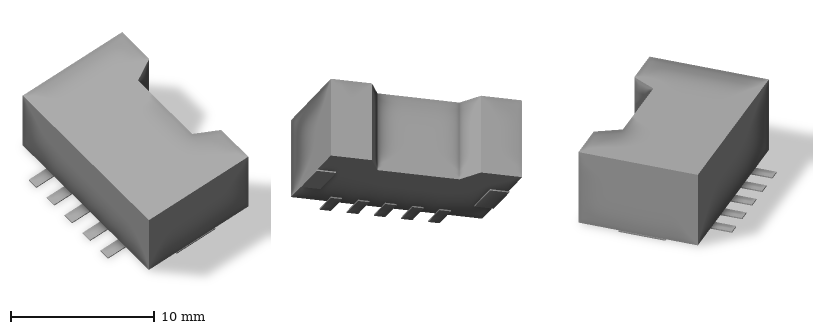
import cadquery as cq

HOUSING_WIDTH = 14.04
HOUSING_DEPTH = 8.9
HOUSING_HEIGHT = 5.7

NOTCH_MOUTH = 8.0
NOTCH_FLOOR = 6.02
NOTCH_DEPTH = 1.8

SHEET_THICKNESS = 0.1

CONTACT_COUNT = 5
CONTACT_PITCH = 2.0
CONTACT_WIDTH = 0.83
CONTACT_LENGTH = 2.53
CONTACT_OVERHANG = 1.55

OUTER_WIDTH = 14.14
TAB_WIDTH = 1.41
TAB_DEPTH = 3.46
TAB_FRONT = 2.43


def make_housing():
    """Block with a tapered notch through its height, resting on the metal sheet parts."""
    back = HOUSING_DEPTH
    side = HOUSING_WIDTH / 2
    notch_floor_y = back - NOTCH_DEPTH
    outline = [
        (-side, 0),
        (side, 0),
        (side, back),
        (NOTCH_MOUTH / 2, back),
        (NOTCH_FLOOR / 2, notch_floor_y),
        (-NOTCH_FLOOR / 2, notch_floor_y),
        (-NOTCH_MOUTH / 2, back),
        (-side, back),
    ]
    return cq.Workplane("XY").polyline(outline).close().extrude(HOUSING_HEIGHT)


def make_sheet_strip(width, depth, center_x, front_y):
    """Flat strip whose top face lies against the housing underside at Z = 0."""
    return (
        cq.Workplane("XY")
        .box(width, depth, SHEET_THICKNESS, centered=(True, False, False))
        .translate((center_x, front_y, -SHEET_THICKNESS))
    )


def make_contact(index):
    """Contact strip that projects from the front of the housing."""
    center_x = (index - (CONTACT_COUNT - 1) / 2) * CONTACT_PITCH
    return make_sheet_strip(CONTACT_WIDTH, CONTACT_LENGTH, center_x, -CONTACT_OVERHANG)


def make_solder_tab(side):
    """Solder tab that projects slightly past one end; side is -1 or 1."""
    center_x = side * (OUTER_WIDTH - TAB_WIDTH) / 2
    return make_sheet_strip(TAB_WIDTH, TAB_DEPTH, center_x, TAB_FRONT)


housing = make_housing()
contacts = [make_contact(index) for index in range(CONTACT_COUNT)]
solder_tabs = [make_solder_tab(side) for side in (-1, 1)]

result = cq.Compound.makeCompound(
    [
        housing.val(),
        *[contact.val() for contact in contacts],
        *[tab.val() for tab in solder_tabs],
    ]
)